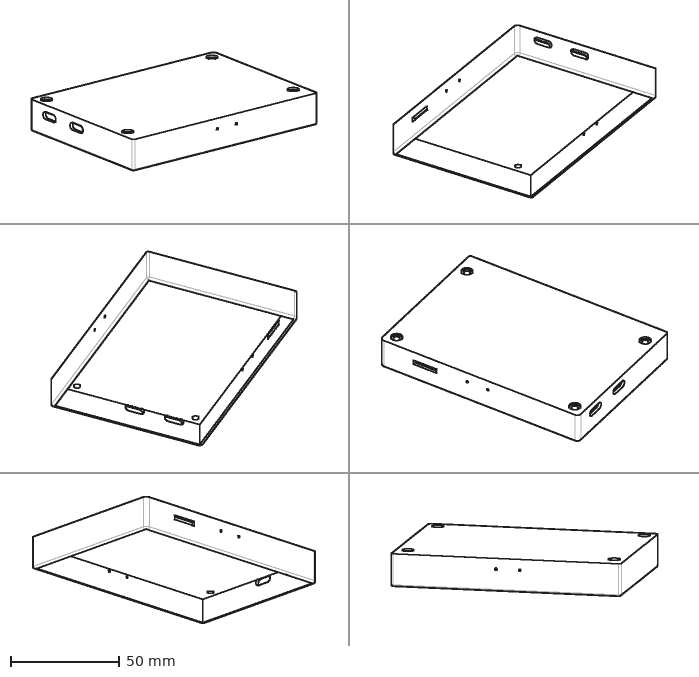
import cadquery as cq

WIDTH = 76.5
LENGTH = 109.2
HEIGHT = 15.5
WALL = 1.6
ROOF = 4.0
LEFT_CORNER_RADIUS = 2.0
RIGHT_CORNER_RADIUS = 1.0
BOTTOM_EDGE_RADIUS = 1.0

SCREW_CENTER_X = -2.7
SCREW_SPACING_X = 60.0
SCREW_SPACING_Y = 98.0
SCREW_HOLE_DIAMETER = 3.1
SCREW_HEAD_DIAMETER = 5.5
SCREW_HEAD_DEPTH = 1.0

PORT_WIDTH = 9.5
PORT_HEIGHT = 3.5
PORT_PITCH = 20.0
FIRST_PORT_X = -23.7
PORT_BELOW_TOP = 5.2

CARD_SLOT_LENGTH = 12.5
CARD_SLOT_HEIGHT = 2.2
CARD_SLOT_Y = 29.9
CARD_SLOT_BELOW_TOP = 5.9

PIN_HOLE_DIAMETER = 1.0
PIN_HOLE_YS = (6.7, -4.7)
PIN_HOLE_BELOW_TOP = 5.1


def case_shell():
    """Box with a thick roof and an open underside, standing on Z = 0."""
    body = cq.Workplane("XY").box(WIDTH, LENGTH, HEIGHT, centered=(True, True, False))
    body = body.edges("|Z and <X").fillet(LEFT_CORNER_RADIUS)
    body = body.edges("|Z and >X").fillet(RIGHT_CORNER_RADIUS)
    body = body.faces("<Z").edges().fillet(BOTTOM_EDGE_RADIUS)
    cavity = cq.Workplane("XY").box(
        WIDTH - 2 * WALL, LENGTH - 2 * WALL, HEIGHT - ROOF, centered=(True, True, False)
    )
    return body.cut(cavity)


def cut_screw_holes(body):
    """Counterbored holes at the four roof corners, opening into the cavity."""
    return (
        body.faces(">Z")
        .workplane(origin=(SCREW_CENTER_X, 0, HEIGHT))
        .rarray(SCREW_SPACING_X, SCREW_SPACING_Y, 2, 2)
        .cboreHole(SCREW_HOLE_DIAMETER, SCREW_HEAD_DIAMETER, SCREW_HEAD_DEPTH)
    )


def port_cutter(x):
    """Upright stadium reaching from outside the -Y wall into the cavity."""
    return (
        cq.Workplane("XZ", origin=(x, -LENGTH / 2 + WALL, HEIGHT - PORT_BELOW_TOP))
        .slot2D(PORT_WIDTH, PORT_HEIGHT)
        .extrude(WALL)
    )


def card_slot_cutter():
    """Flat rectangular slot through the -X wall."""
    return cq.Workplane("XY").box(WALL, CARD_SLOT_LENGTH, CARD_SLOT_HEIGHT).translate(
        (-WIDTH / 2 + WALL / 2, CARD_SLOT_Y, HEIGHT - CARD_SLOT_BELOW_TOP)
    )


def pin_hole_cutter(y):
    """Round bar along X across the full width of the case."""
    return (
        cq.Workplane("YZ", origin=(-WIDTH / 2, y, HEIGHT - PIN_HOLE_BELOW_TOP))
        .circle(PIN_HOLE_DIAMETER / 2)
        .extrude(WIDTH)
    )


result = cut_screw_holes(case_shell())
for port_x in (FIRST_PORT_X, FIRST_PORT_X + PORT_PITCH):
    result = result.cut(port_cutter(port_x))
result = result.cut(card_slot_cutter())
for pin_y in PIN_HOLE_YS:
    result = result.cut(pin_hole_cutter(pin_y))